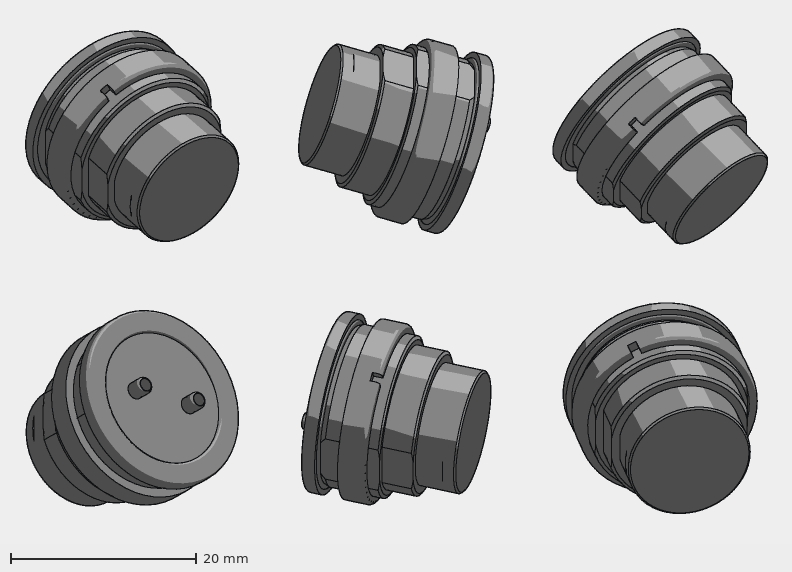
import cadquery as cq
import math


FLANGE_DIAMETER = 20.0
FLANGE_LENGTH = 1.55
FLANGE_ROUND = 0.35
COLLAR_DIAMETER = 18.72
COLLAR_END = 1.75

THREAD_DIAMETER = 18.0
THREAD_REAR_DIAMETER = 17.55
THREAD_TIP_DIAMETER = 17.18
THREAD_START = 2.32
THREAD_END = 8.45
THREAD_TIP_LENGTH = 0.18
THREAD_FLAT_WIDTH = 16.92

MIDDLE_DIAMETER = 16.05
MIDDLE_TIP_DIAMETER = 15.32
MIDDLE_END = 11.95
MIDDLE_TIP_LENGTH = 0.2
MIDDLE_FLAT_WIDTH = 15.1

BARREL_DIAMETER = 13.6
BARREL_END = 16.45
BARREL_CHAMFER = 0.2
BARREL_FLAT_WIDTH = 13.28
BARREL_FLAT_END = 15.0

RECESS_DIAMETER = 15.6
RECESS_DEPTH = 0.35

PIN_DIAMETER = 1.9
PIN_TIP_DIAMETER = 1.48
PIN_BORE_DIAMETER = 1.4
PIN_BORE_DEPTH = 1.6
PIN_PROJECTION = 1.65
PIN_TIP_LENGTH = 0.35
PIN_SPACING = 7.0

NUT_START = 4.15
NUT_END = 7.15
NUT_DIAMETER = FLANGE_DIAMETER
NUT_ROUND = 0.48
SLOT_WIDTH = 1.0
SLOT_LENGTH = 1.05
SLOT_ANGLE = 22.5


def cylinder(diameter, start, end):
    """Cylinder along X between two stations."""
    return (
        cq.Workplane("YZ", origin=(start, 0, 0))
        .circle(diameter / 2)
        .extrude(end - start)
    )


def revolve_about_x(profile):
    """Solid of revolution from (station, radius) points."""
    return cq.Workplane("XY").polyline(profile).close().revolve(360, (0, 0, 0), (1, 0, 0))


def slab(width, start, end):
    """Block that keeps only the material between two flats facing -Y and +Y."""
    return (
        cq.Workplane("XY", origin=(start, 0, 0))
        .box(end - start, width, FLANGE_DIAMETER, centered=(False, True, True))
    )


def make_flange():
    """Flange with a rounded rear edge and a fully rounded collar."""
    flange = cylinder(FLANGE_DIAMETER, 0, FLANGE_LENGTH).faces("<X").edges().fillet(FLANGE_ROUND)
    collar = cylinder(COLLAR_DIAMETER, 0, COLLAR_END).faces(">X").edges().fillet(COLLAR_END - FLANGE_LENGTH)
    return flange.union(collar)


def make_thread():
    """Threaded section, tapered at both ends, with two flats."""
    profile = [
        (0, 0),
        (0, THREAD_REAR_DIAMETER / 2),
        (COLLAR_END, THREAD_REAR_DIAMETER / 2),
        (THREAD_START, THREAD_DIAMETER / 2),
        (THREAD_END - THREAD_TIP_LENGTH, THREAD_DIAMETER / 2),
        (THREAD_END, THREAD_TIP_DIAMETER / 2),
        (THREAD_END, 0),
    ]
    return revolve_about_x(profile).intersect(slab(THREAD_FLAT_WIDTH, 0, THREAD_END))


def make_middle():
    """Middle section with a tapered front edge and two flats."""
    profile = [
        (THREAD_START, 0),
        (THREAD_START, MIDDLE_DIAMETER / 2),
        (MIDDLE_END - MIDDLE_TIP_LENGTH, MIDDLE_DIAMETER / 2),
        (MIDDLE_END, MIDDLE_TIP_DIAMETER / 2),
        (MIDDLE_END, 0),
    ]
    return revolve_about_x(profile).intersect(slab(MIDDLE_FLAT_WIDTH, THREAD_START, MIDDLE_END))


def make_barrel():
    """Front barrel with two shallow flats that stop short of its end."""
    barrel = cylinder(BARREL_DIAMETER, THREAD_START, BARREL_END)
    barrel = barrel.faces(">X").edges().chamfer(BARREL_CHAMFER)
    keep = slab(BARREL_FLAT_WIDTH, THREAD_START, BARREL_FLAT_END)
    keep = keep.union(slab(FLANGE_DIAMETER, BARREL_FLAT_END, BARREL_END))
    return barrel.intersect(keep)


def make_recess():
    """Recess volume whose wall curves inwards as a convex quarter round."""
    mouth = RECESS_DIAMETER / 2
    floor = mouth - RECESS_DEPTH
    bend = RECESS_DEPTH * math.sqrt(0.5)
    outline = (
        cq.Workplane("XY")
        .lineTo(0, mouth)
        .threePointArc((RECESS_DEPTH - bend, mouth - bend), (RECESS_DEPTH, floor))
        .lineTo(RECESS_DEPTH, 0)
        .close()
    )
    return outline.revolve(360, (0, 0, 0), (1, 0, 0))


def make_pin(y):
    """Hollow pin standing on the recess floor, with an arc running tangent into its side."""
    radius = PIN_DIAMETER / 2
    tip_start = PIN_TIP_LENGTH - PIN_PROJECTION
    outline = (
        cq.Workplane("XY", origin=(0, y, 0))
        .moveTo(RECESS_DEPTH, 0)
        .lineTo(RECESS_DEPTH, radius)
        .lineTo(tip_start, radius)
        .tangentArcPoint((-PIN_PROJECTION, PIN_TIP_DIAMETER / 2), relative=False)
        .lineTo(-PIN_PROJECTION, 0)
        .close()
    )
    pin = outline.revolve(360, (0, 0, 0), (1, 0, 0))
    bore = cylinder(PIN_BORE_DIAMETER, -PIN_PROJECTION, PIN_BORE_DEPTH - PIN_PROJECTION)
    return pin.cut(bore.translate((0, y, 0)))


def make_housing():
    """Flange, stepped body and contact pins as one solid."""
    housing = make_flange().union(make_thread()).union(make_middle()).union(make_barrel())
    housing = housing.cut(make_recess())
    for side in (-1, 1):
        housing = housing.union(make_pin(side * PIN_SPACING / 2))
    return housing


def make_ring_nut():
    """Ring nut fitted round the thread, with one spanner slot."""
    nut = cylinder(NUT_DIAMETER, NUT_START, NUT_END).faces(">X").edges().fillet(NUT_ROUND)
    slot = (
        cq.Workplane("XY")
        .box(SLOT_LENGTH, SLOT_WIDTH, NUT_DIAMETER, centered=(False, True, False))
        .translate((NUT_END - SLOT_LENGTH, 0, 0))
        .rotate((0, 0, 0), (1, 0, 0), SLOT_ANGLE)
    )
    bore = cylinder(THREAD_DIAMETER, NUT_START, NUT_END)
    return nut.cut(bore).cut(slot)


housing = make_housing()
ring_nut = make_ring_nut()

result = cq.Compound.makeCompound([housing.val(), ring_nut.val()])